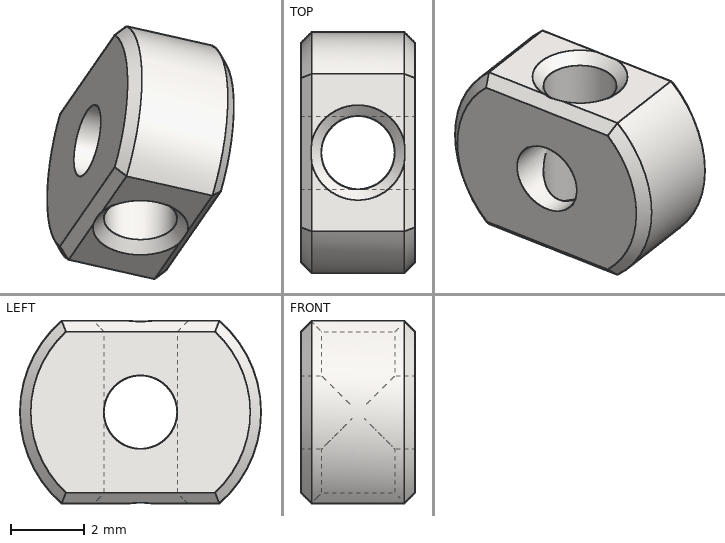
import cadquery as cq

thickness = 3.125
round_diameter = 6.6
height = 5.0
hole_diameter = 2.0
edge_chamfer = 0.3
countersink_depth = 0.3

half_height = height / 2
hole_radius = hole_diameter / 2
countersink_radius = hole_radius + countersink_depth


def make_body():
    """Disc along X with flats at top and bottom, chamfered around both faces."""
    disc = (
        cq.Workplane("YZ")
        .circle(round_diameter / 2)
        .extrude(thickness / 2, both=True)
    )
    flats = cq.Workplane("XY").box(thickness, round_diameter, height)
    return disc.intersect(flats).faces("<X or >X").chamfer(edge_chamfer)


def make_cross_hole():
    """Plain through hole along X."""
    return cq.Workplane("YZ").circle(hole_radius).extrude(thickness / 2, both=True)


def make_vertical_hole():
    """Through hole along Z, countersunk at both flats."""
    profile = [
        (0, -half_height),
        (countersink_radius, -half_height),
        (hole_radius, -half_height + countersink_depth),
        (hole_radius, half_height - countersink_depth),
        (countersink_radius, half_height),
        (0, half_height),
    ]
    return cq.Workplane("XZ").polyline(profile).close().revolve(360, (0, 0), (0, 1))


result = make_body().cut(make_cross_hole()).cut(make_vertical_hole())